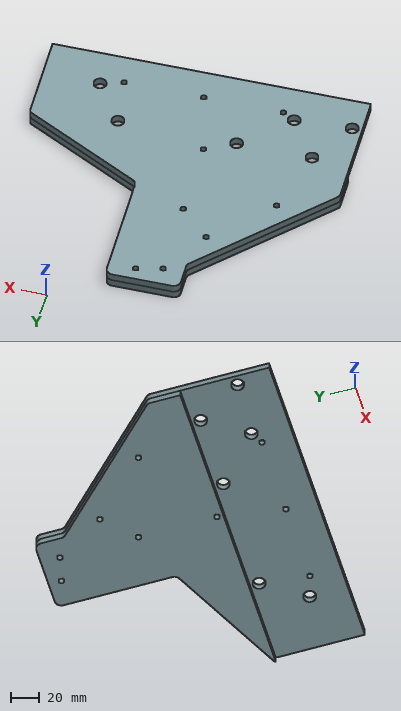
import cadquery as cq
import math

width = 228.0
depth = 197.0
plate_thickness = 6.0

neck_left = 87.5
neck_right = 140.5

left_side_height = 88.0
left_shoulder_angle = 45.0
right_side_height = 64.9
right_neck_height = 110.0

corner_radius = 5.0
right_corner_radius = 3.0

lower_plate_front = 64.5

screw_diameter = 3.9
screw_pitch = 57.0
front_row_y = 22.5
neck_row_x = 102.5
neck_row_start_y = 69.0
shoulder_row_start = (40.4, 107.1)
neck_corner_screw = (121.0, 187.6)

clearance_diameter = 9.0
clearance_points = [
    (27.5, 58.0),
    (81.5, 58.0),
    (166.5, 58.0),
    (48.0, 27.5),
    (187.0, 27.5),
    (7.1, 25.0),
]


def plate_blank(bottom_z):
    """Full-depth plate with rounded corners, except for the two sharp front ones."""
    left_rise = neck_left * math.tan(math.radians(left_shoulder_angle))
    outline = [
        (0, 0),
        (width, 0),
        (width, right_side_height),
        (neck_right, right_neck_height),
        (neck_right, depth),
        (neck_left, depth),
        (neck_left, left_side_height + left_rise),
        (0, left_side_height),
    ]
    blank = cq.Workplane("XY", origin=(0, 0, bottom_z)).polyline(outline).close().extrude(plate_thickness)
    blank = blank.edges("|Z and (not <Y) and (not >X)").fillet(corner_radius)
    return blank.faces(">X").edges("|Z").edges(">Y").fillet(right_corner_radius)


def drill(plate, points, diameter):
    """Drill holes of one diameter through the full stack height at the given points."""
    drills = cq.Workplane("XY").pushPoints(points).circle(diameter / 2).extrude(2 * plate_thickness)
    return plate.cut(drills)


front_row = [(width / 2 + i * screw_pitch, front_row_y) for i in (-1, 0, 1)]
neck_row = [(neck_row_x, neck_row_start_y + i * screw_pitch) for i in range(3)]
shoulder_step = (
    screw_pitch * math.cos(math.radians(left_shoulder_angle)),
    screw_pitch * math.sin(math.radians(left_shoulder_angle)),
)
shoulder_row = [
    (shoulder_row_start[0] + i * shoulder_step[0], shoulder_row_start[1] + i * shoulder_step[1])
    for i in range(2)
]
shared_screws = neck_row + shoulder_row + [neck_corner_screw]

front_strip = cq.Workplane("XY").box(width, lower_plate_front, plate_thickness, centered=False)
lower_plate = plate_blank(0).cut(front_strip)
lower_plate = drill(lower_plate, shared_screws, screw_diameter)

upper_plate = plate_blank(plate_thickness)
upper_plate = drill(upper_plate, shared_screws + front_row, screw_diameter)
upper_plate = drill(upper_plate, clearance_points, clearance_diameter)

result = cq.Compound.makeCompound([lower_plate.val(), upper_plate.val()])